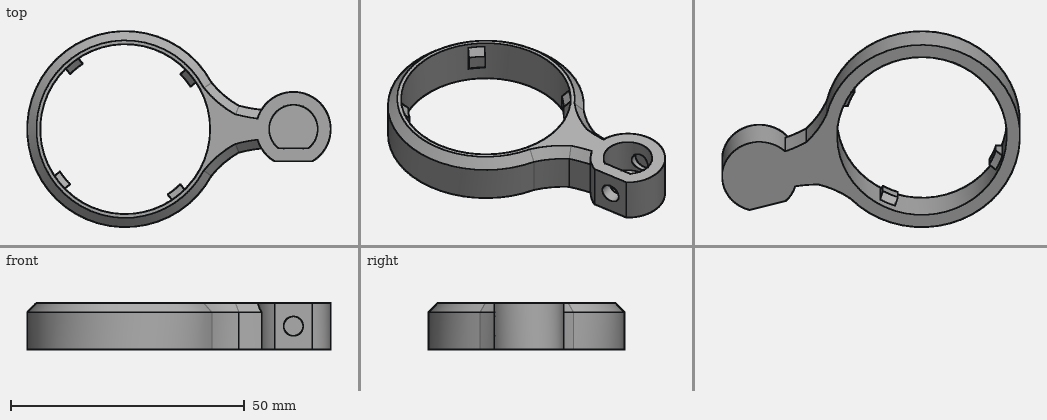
import cadquery as cq
import math

height = 10.0
rim_chamfer = 2.0
chamfer_angle = 45.0

ring_radius = 21.0
bore_radius = 36.3 / 2

hub_x = 36.0
hub_radius = 8.0
hub_wall = 2.8
socket_radius = hub_radius - hub_wall
hub_flat_y = -6.9
socket_flat_y = hub_flat_y + hub_wall
floor_thickness = 2.0

screw_diameter = 4.15
screw_end_y = 6.3

arm_start_angle = 28.4
arm_start_x = ring_radius * math.cos(math.radians(arm_start_angle))
arm_start_half_width = ring_radius * math.sin(math.radians(arm_start_angle))
arm_joint_x = 24.3
arm_joint_half_width = 5.05
arm_end_x = 31.0
arm_end_half_width = 4.05
ring_side_radius = 20.0
hub_side_radius = 30.0

tab_count = 4
tab_first_angle = 39.0
tab_width = 3.5
tab_projection = 1.5
tab_bottom = 3.0
tab_top = 9.0
tab_root_radius = (ring_radius + bore_radius) / 2
tab_tip_radius = bore_radius - tab_projection


def make_ring():
    """Outer body of the ring, chamfered around its upper edge."""
    ring = cq.Workplane("XY").circle(ring_radius).extrude(height)
    return ring.faces(">Z").edges().chamfer(rim_chamfer)


def make_hollow(start, end, radius):
    """Round cutter through two points of the arm's +Y side, flared at the top to cut the chamfer."""
    step_x = end[0] - start[0]
    step_y = end[1] - start[1]
    chord = math.hypot(step_x, step_y)
    rise = math.sqrt(radius**2 - (chord / 2) ** 2) / chord
    center_x = (start[0] + end[0]) / 2 - rise * step_y
    center_y = (start[1] + end[1]) / 2 + rise * step_x
    shank = (
        cq.Workplane("XY", origin=(center_x, center_y, 0))
        .circle(radius)
        .extrude(height - rim_chamfer)
    )
    flare = shank.faces(">Z").wires().toPending().extrude(rim_chamfer, taper=-chamfer_angle, combine=False)
    return shank.union(flare)


def make_arm():
    """Bar from the ring axis to the hub axis, hollowed on both sides to a narrow waist."""
    start = (arm_start_x, arm_start_half_width)
    joint = (arm_joint_x, arm_joint_half_width)
    end = (arm_end_x, arm_end_half_width)
    ring_side = make_hollow(start, joint, ring_side_radius)
    hub_side = make_hollow(joint, end, hub_side_radius)
    side_cutter = ring_side.intersect(hub_side)
    bar = cq.Workplane("XY").box(hub_x, 2 * arm_start_half_width, height, centered=(False, True, False))
    return bar.cut(side_cutter).cut(side_cutter.mirror("XZ"))


def make_d_prism(radius, flat_y, bottom):
    """Cylinder on the hub axis, cut off by a flat on its -Y side, up to the top face."""
    half_flat = math.sqrt(radius**2 - flat_y**2)
    return (
        cq.Workplane("XY", origin=(hub_x, 0, bottom))
        .moveTo(-half_flat, flat_y)
        .lineTo(half_flat, flat_y)
        .threePointArc((0, radius), (-half_flat, flat_y))
        .close()
        .extrude(height - bottom)
    )


def make_screw_hole():
    """Flat-ended hole along +Y at mid height."""
    return (
        cq.Workplane("XZ", origin=(hub_x, screw_end_y, height / 2))
        .circle(screw_diameter / 2)
        .extrude(screw_end_y - hub_flat_y)
    )


def make_tabs():
    """Tabs cut from one revolved profile whose root is buried in the ring wall."""
    band = (
        cq.Workplane("XZ")
        .moveTo(tab_root_radius, tab_bottom)
        .lineTo(bore_radius, tab_bottom)
        .lineTo(tab_tip_radius, tab_bottom + tab_projection)
        .lineTo(tab_tip_radius, tab_top - tab_projection)
        .lineTo(bore_radius, tab_top)
        .lineTo(tab_root_radius, tab_top)
        .close()
        .revolve(360, (0, 0, 0), (0, 1, 0))
    )
    tabs = cq.Workplane("XY")
    for index in range(tab_count):
        angle = tab_first_angle + index * 360 / tab_count
        tab_slice = (
            cq.Workplane("XY")
            .box(ring_radius, tab_width, height, centered=(False, True, False))
            .rotate((0, 0, 0), (0, 0, 1), angle)
        )
        tabs = tabs.union(band.intersect(tab_slice))
    return tabs


bore = cq.Workplane("XY").circle(bore_radius).extrude(height)
hub = make_d_prism(hub_radius, hub_flat_y, 0)
socket = make_d_prism(socket_radius, socket_flat_y, floor_thickness)

result = (
    make_ring()
    .union(make_arm())
    .cut(bore)
    .union(hub)
    .cut(socket)
    .cut(make_screw_hole())
    .union(make_tabs())
)